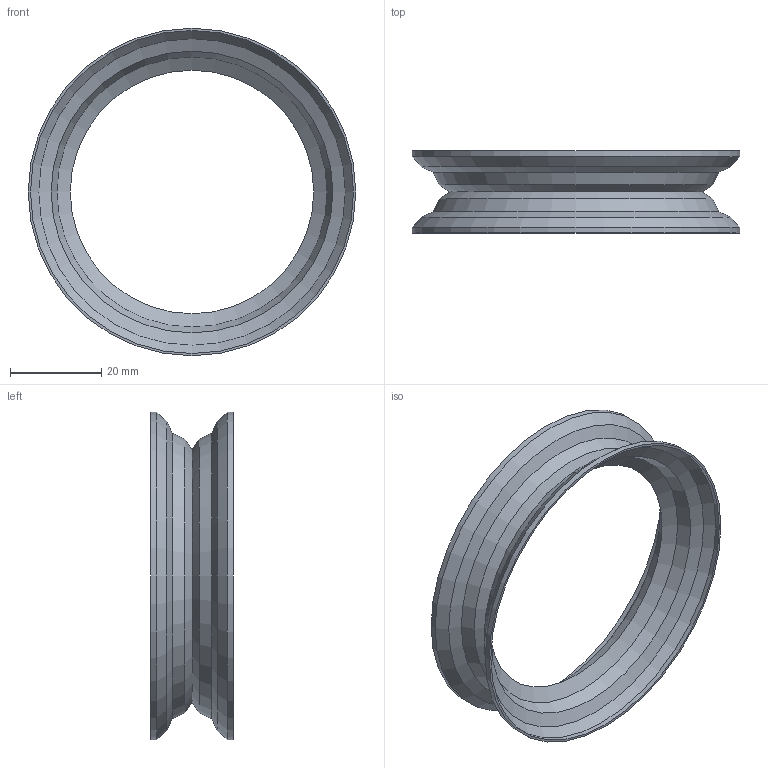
import cadquery as cq
import math

WALL = 0.5
HALF_WIDTH = 9.0
RIM_RADIUS = 35.895

OUTER_PROFILE = [
    (0.0, 27.6),
    (1.55, 30.0),
    (4.3, 31.25),
    (5.55, 33.9),
    (7.75, RIM_RADIUS),
    (HALF_WIDTH, RIM_RADIUS),
]


def mirrored(point):
    """Reflect a profile point across the mid-plane."""
    return (-point[0], point[1])


def heading(start, end):
    """Angle of the line from start to end."""
    return math.atan2(end[1] - start[1], end[0] - start[0])


def inner_corner(before, corner, after):
    """Corner of the inside surface, one wall thickness from both adjoining outer lines."""
    heading_in = heading(before, corner)
    heading_out = heading(corner, after)
    mean_heading = (heading_in + heading_out) / 2
    reach = WALL / math.cos((heading_out - heading_in) / 2)
    return (
        corner[0] + reach * math.sin(mean_heading),
        corner[1] - reach * math.cos(mean_heading),
    )


def inner_profile():
    """Inside of one half, from the bore at the mid-plane to the rim edge."""
    before_bottom = mirrored(OUTER_PROFILE[1])
    befores = [before_bottom] + OUTER_PROFILE[:-2]
    corners = [
        inner_corner(before, corner, after)
        for before, corner, after in zip(befores, OUTER_PROFILE[:-1], OUTER_PROFILE[1:])
    ]
    return corners + [(HALF_WIDTH, RIM_RADIUS - WALL)]


def full_width(half_profile):
    """Join a half profile to its mirror image, sharing the mid-plane point."""
    return [mirrored(point) for point in half_profile[:0:-1]] + half_profile


def make_ring():
    """Revolve the wall section about the Y axis."""
    outline = full_width(OUTER_PROFILE) + full_width(inner_profile())[::-1]
    section = cq.Workplane("YZ").polyline(outline).close()
    return section.revolve(360, (0, 0), (1, 0))


result = make_ring()